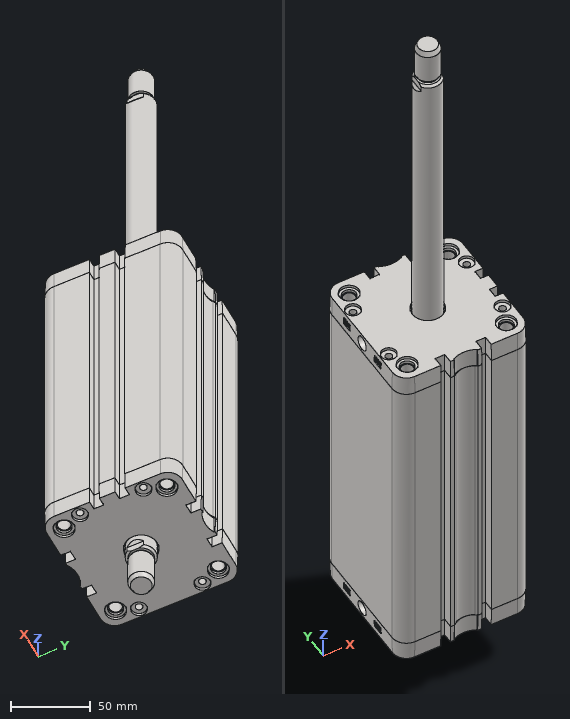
import cadquery as cq

total_length = 528.0
body_side = 95.5
corner_radius = 10.5
lower_rod_reach = 38.0
upper_rod_reach = 237.5
cap_height = 14.0
cap_draft = 0.4

rod_diameter = 20.0
thread_diameter = 17.0
neck_diameter = 13.5
tip_diameter = 13.5
tip_chamfer_height = 3.5
neck_start = 25.5
shoulder_start = 28.0
flats_end = 35.5
flats_runout = 2.0
shoulder_chamfer = 1.5
width_across_flats = 16.5

slot_width = 7.0
side_slot_depth = 7.5
side_slot_offset = 15.0
end_slot_depth = 6.5
end_slot_offset = 9.0
recess_mouth_width = 17.0
recess_depth = 3.0
recess_wall_depth = 1.0
barrel_wall_lean = 1.5

screw_offset = 36.0
screw_head_diameter = 13.5
screw_head_depth = 2.0
screw_thread_diameter = 10.0
screw_thread_depth = 4.0
screw_core_diameter = 8.5
pin_offset_x = 41.0
pin_offset_y = 22.0
pin_hole_diameter = 10.5
pin_hole_depth = 2.0
pin_core_diameter = 5.0
pin_core_depth = 10.5
rod_gap_diameter = 22.0
rod_gap_depth = 2.5

port_diameter = 10.0
port_mouth_depth = 5.5
port_core_diameter = 8.5
port_depth = 10.5
pocket_offset = 19.0
pocket_width = 8.0
pocket_height = 5.0
pocket_step_width = 1.0
pocket_step_depth = 0.5

half_side = body_side / 2
upper_cap_top = total_length - upper_rod_reach
lower_cap_top = lower_rod_reach + cap_height
upper_cap_bottom = upper_cap_top - cap_height
barrel_length = upper_cap_bottom - lower_cap_top


def cylinder(diameter, z_start, z_end, x=0.0, y=0.0):
    return cq.Workplane("XY", origin=(x, y, z_start)).circle(diameter / 2).extrude(z_end - z_start)


def drill(body, steps, top, x=0.0, y=0.0):
    """Cut a stepped hole downward from height top; steps lists (diameter, depth) pairs."""
    for diameter, depth in steps:
        body = body.cut(cylinder(diameter, top - depth, top, x, y))
    return body


def straight_slot(depth):
    """Full-length cutter for a slot of this depth in the +Y face, centred on X = 0."""
    blank = cq.Workplane("XY").box(slot_width, 2 * depth, total_length, centered=(True, True, False))
    return blank.translate((0, half_side, 0))


def cut_straight_slots(body):
    """Two slots along each Y face and two along the +X face."""
    for x in (-side_slot_offset, side_slot_offset):
        side_slot = straight_slot(side_slot_depth).translate((x, 0, 0))
        body = body.cut(side_slot).cut(side_slot.mirror("XZ"))
    end_slot = straight_slot(end_slot_depth).rotate((0, 0, 0), (0, 0, 1), -90)
    for y in (-end_slot_offset, end_slot_offset):
        body = body.cut(end_slot.translate((0, y, 0)))
    return body


def cut_round_channels(body, wall_lean=0.0):
    """Shallow channel along each Y face: short side walls and an arched floor."""
    half_mouth = recess_mouth_width / 2
    half_arc = half_mouth - wall_lean
    arc_edge = half_side - recess_wall_depth
    floor = half_side - recess_depth
    channel = (
        cq.Workplane("XY")
        .moveTo(-half_arc, arc_edge)
        .threePointArc((0, floor), (half_arc, arc_edge))
        .lineTo(half_mouth, half_side)
        .lineTo(-half_mouth, half_side)
        .close()
        .extrude(total_length)
    )
    return body.cut(channel).cut(channel.mirror("XZ"))


def make_barrel():
    barrel = (
        cq.Workplane("XY", origin=(0, 0, lower_cap_top))
        .rect(body_side, body_side)
        .extrude(barrel_length)
        .edges("|Z")
        .fillet(corner_radius)
        .cut(cylinder(rod_diameter, 0, total_length))
    )
    return cut_round_channels(cut_straight_slots(barrel), barrel_wall_lean)


def make_rod():
    """Through rod with the same threaded end at both ends."""
    rod_radius = rod_diameter / 2
    lower_end = [
        (0, 0),
        (tip_diameter / 2, 0),
        (thread_diameter / 2, tip_chamfer_height),
        (thread_diameter / 2, neck_start),
        (neck_diameter / 2, neck_start),
        (neck_diameter / 2, shoulder_start),
        (rod_radius - shoulder_chamfer, shoulder_start),
        (rod_radius, shoulder_start + shoulder_chamfer),
    ]
    upper_end = [(radius, total_length - z) for radius, z in reversed(lower_end)]
    rod = cq.Workplane("XZ").polyline(lower_end + upper_end).close().revolve(360, (0, 0), (0, 1))
    for flat in wrench_flats():
        rod = rod.cut(flat)
    return rod


def wrench_flats():
    """Cutters for the flats on the +X and -X sides of both rod ends; each flat ends in a slope."""
    flat_x = width_across_flats / 2
    flat_depth = rod_diameter / 2 - flat_x
    profile = [
        (flat_x, shoulder_start),
        (flat_x, flats_end - flats_runout),
        (flat_x + flat_depth, flats_end),
        (flat_x + flat_depth, shoulder_start),
    ]
    right = cq.Workplane("XZ").polyline(profile).close().extrude(rod_diameter, both=True)
    lower = [right, right.mirror("YZ")]
    upper = [flat.mirror("XY").translate((0, 0, total_length)) for flat in lower]
    return lower + upper


def make_upper_cap():
    base = cq.Sketch().rect(body_side, body_side).vertices().fillet(corner_radius)
    top_side = body_side - 2 * cap_draft
    top = cq.Sketch().rect(top_side, top_side).vertices().fillet(corner_radius - cap_draft)
    cap = (
        cq.Workplane("XY", origin=(0, 0, upper_cap_bottom))
        .placeSketch(base, top.moved(cq.Location(cq.Vector(0, 0, cap_height))))
        .loft()
    )
    cap = cut_round_channels(cut_straight_slots(cap))
    cap = drill(cap, [(rod_gap_diameter, rod_gap_depth), (rod_diameter, cap_height)], upper_cap_top)
    return cut_port(cut_end_holes(cap))


def cut_end_holes(cap):
    """A stepped screw hole and a stepped pin hole near each corner of the outer face."""
    screw_steps = [
        (screw_head_diameter, screw_head_depth),
        (screw_thread_diameter, screw_thread_depth),
        (screw_core_diameter, cap_height),
    ]
    pin_steps = [(pin_hole_diameter, pin_hole_depth), (pin_core_diameter, pin_core_depth)]
    for x_side in (-1, 1):
        for y_side in (-1, 1):
            cap = drill(cap, screw_steps, upper_cap_top, x_side * screw_offset, y_side * screw_offset)
            cap = drill(cap, pin_steps, upper_cap_top, x_side * pin_offset_x, y_side * pin_offset_y)
    return cap


def cut_port(cap):
    """Stepped port in the -X face, with a stepped pocket on each side of it."""
    face = cq.Workplane("YZ", origin=(-half_side, 0, upper_cap_top - cap_height / 2))
    cap = cap.cut(face.circle(port_diameter / 2).extrude(port_mouth_depth))
    cap = cap.cut(face.circle(port_core_diameter / 2).extrude(port_depth))
    outer_depth = cap_draft + pocket_step_depth
    inner_width = pocket_width - 2 * pocket_step_width
    inner_height = pocket_height - 2 * pocket_step_width
    pockets = face.pushPoints([(-pocket_offset, 0), (pocket_offset, 0)])
    cap = cap.cut(pockets.rect(pocket_width, pocket_height).extrude(outer_depth))
    return cap.cut(pockets.rect(inner_width, inner_height).extrude(outer_depth + pocket_step_depth))


def make_lower_cap():
    """Mirror image of the upper cap at the other end of the barrel."""
    return make_upper_cap().mirror("XY").translate((0, 0, lower_rod_reach + upper_cap_top))


barrel = make_barrel()
rod = make_rod()
upper_cap = make_upper_cap()
lower_cap = make_lower_cap()

result = cq.Compound.makeCompound([barrel.val(), rod.val(), upper_cap.val(), lower_cap.val()])